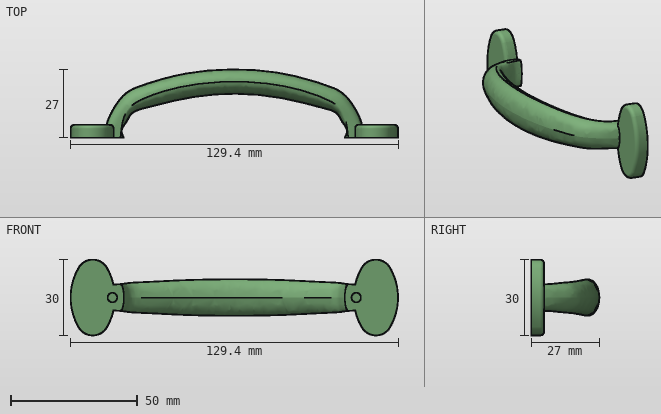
import cadquery as cq
import math

overall_length = 129.4
plate_width = 17.6
plate_height = 30.0
plate_thickness = 5.2
plate_edge_radius = 1.5
plate_end_radius = 6.5
plate_center_x = (overall_length - plate_width) / 2

hole_diameter = 3.8
hole_depth = 5.2
hole_center_x = 48.1

grip_depth = 27.0
mid_thickness = 9.7
mid_half_height = 7.2
foot_half_height = 5.3
foot_inner_x = 43.6
foot_outer_x = 50.5

ELLIPSE_FULLNESS = 4 / 3 * math.tan(math.pi / 8)
FOOT_FULLNESS = 0.8

foot_station = ((foot_inner_x, 0), (foot_outer_x, 0), 0.2, foot_half_height, FOOT_FULLNESS)
bend_stations = [
    ((43.3, 5.2), (50.3, 5.5), 0.14, 5.3, FOOT_FULLNESS),
    ((41.4, 8.4), (47.2, 12.3), 0.27, 5.5, 0.65),
    ((38.4, 10.7), (42.0, 18.1), 0.35, 6.0, ELLIPSE_FULLNESS),
    ((30.0, 13.1), (33.0, 21.9), 0.47, 6.3, ELLIPSE_FULLNESS),
    ((17.1, 15.9), (18.6, 25.5), 0.5, 7.0, ELLIPSE_FULLNESS),
]
middle_station = (
    (0, grip_depth - mid_thickness), (0, grip_depth), 0.5, mid_half_height, ELLIPSE_FULLNESS,
)


def grip_section(station, side):
    """Closed oval across the grip; side is -1 or 1 for the left or right half."""
    (inner_x, inner_y), (outer_x, outer_y), seam, half_height, outer_fullness = station
    across = cq.Vector(side * (outer_x - inner_x), outer_y - inner_y, 0)
    thickness = across.Length
    plane = cq.Plane(
        origin=(side * inner_x, inner_y, 0), xDir=across, normal=across.cross(cq.Vector(0, 0, 1)),
    )
    seam_at = seam * thickness
    top, bottom = (seam_at, -half_height), (seam_at, half_height)
    inner_pull = seam_at * (1 - ELLIPSE_FULLNESS)
    outer_pull = seam_at + (thickness - seam_at) * outer_fullness
    inner_rise = half_height * ELLIPSE_FULLNESS
    outer_rise = half_height * outer_fullness
    return (
        cq.Workplane(plane)
        .moveTo(0, 0)
        .bezier([(0, 0), (0, -inner_rise), (inner_pull, -half_height), top])
        .bezier([top, (outer_pull, -half_height), (thickness, -outer_rise), (thickness, 0)])
        .bezier([(thickness, 0), (thickness, outer_rise), (outer_pull, half_height), bottom])
        .bezier([bottom, (inner_pull, half_height), (0, inner_rise), (0, 0)])
        .close()
        .val()
    )


def make_grip():
    half = [foot_station] + bend_stations
    sections = [grip_section(station, -1) for station in half]
    sections.append(grip_section(middle_station, -1))
    sections += [grip_section(station, 1) for station in reversed(half)]
    grip = cq.occ_impl.shapes.loft(sections, cap=True, parametrization="chordal")
    return cq.Workplane(obj=grip)


def make_plate(side):
    half_width = plate_width / 2
    half_height = plate_height / 2
    end_center_z = half_height - plate_end_radius
    side_radius = (half_width**2 + end_center_z**2 - plate_end_radius**2) / (
        2 * (half_width - plate_end_radius)
    )
    center_line_angle = math.atan2(end_center_z, side_radius - half_width)
    corner_x = plate_end_radius * math.cos(center_line_angle)
    corner_z = end_center_z + plate_end_radius * math.sin(center_line_angle)
    return (
        cq.Workplane("XZ", origin=(side * plate_center_x, 0, 0))
        .moveTo(-corner_x, -corner_z)
        .threePointArc((-half_width, 0), (-corner_x, corner_z))
        .threePointArc((0, half_height), (corner_x, corner_z))
        .threePointArc((half_width, 0), (corner_x, -corner_z))
        .threePointArc((0, -half_height), (-corner_x, -corner_z))
        .close()
        .extrude(-plate_thickness)
        .faces(">Y")
        .edges()
        .fillet(plate_edge_radius)
    )


def make_hole(side):
    return (
        cq.Workplane("XZ", origin=(side * hole_center_x, 0, 0))
        .circle(hole_diameter / 2)
        .extrude(-hole_depth)
    )


result = make_grip()
for side in (-1, 1):
    result = result.union(make_plate(side))
for side in (-1, 1):
    result = result.cut(make_hole(side))